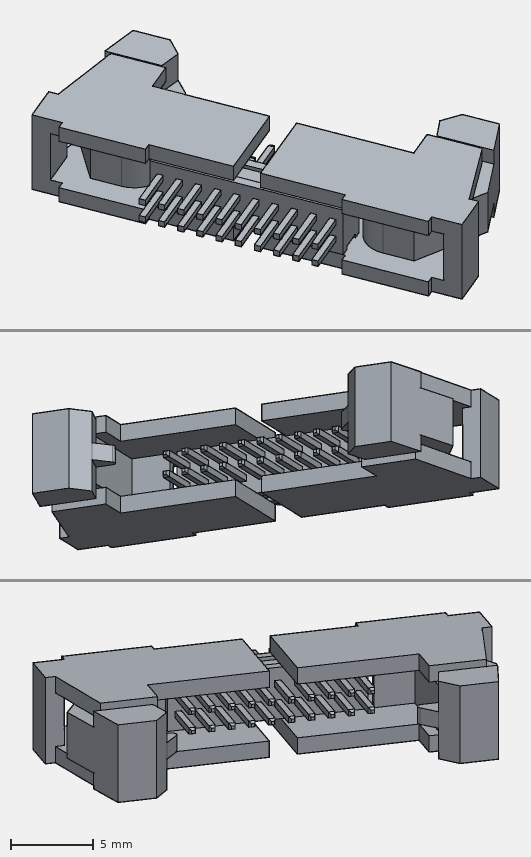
import cadquery as cq

shell_length = 28.47
shell_height = 5.65
plate_thickness = 1.07
end_wall_thickness = 1.22
shell_gap = 1.78
ear_top = 2.58
ear_shoulder = 13.60
tower_top = 7.64
tower_outer = 12.30
tower_inner = 8.65
deck_top = 5.58
standoff_depth = 0.51
standoff_outer = 12.23
standoff_inner = 6.50

shell_end = shell_length / 2
plate_inner = shell_height / 2 - plate_thickness

core_length = 12.80
core_height = 3.38
core_rear = -0.08
core_top = 2.39
core_groove_rear = 0.51
core_groove_top = 1.80
core_groove_depth = 0.25

pin_pitch = 1.27
pin_columns = 10
pin_rows = 2
pin_width = 0.41
pin_rear = -2.84
pin_front = 5.50
pin_tip_length = 0.25
pin_tip_width = 0.21

latch_thickness = 3.00
latch_top = 10.71
head_height = 5.08
head_bottom = 8.09
head_top_outer = 12.13
head_top_inner = 9.67
head_ramp_point = (8.66, 9.57)
head_bottom_inner = 9.10
hook_point_x = 7.29
hook_thickness = 1.08
hook_radius = 0.30
grip_point = (13.68, 5.28)
stem_inner = 9.24
foot_flat_outer = 10.71
foot_flat_inner = 8.65
foot_bottom = 0.80
foot_radius = 2.0
pivot_diameter = 1.27
pivot_center = (10.29, 4.17)

head_fraction = (latch_top - head_bottom) / (latch_top - grip_point[1])
head_bottom_outer = head_top_outer + head_fraction * (grip_point[0] - head_top_outer)


def slab(outline, thickness):
    """Extrude a closed XY outline symmetrically about Z = 0."""
    return outline.extrude(thickness / 2, both=True)


def make_shell():
    """Right-hand shell."""
    plan = cq.Workplane("XY").polyline([
        (shell_gap / 2, 0),
        (standoff_inner, 0),
        (standoff_inner, -standoff_depth),
        (standoff_outer, -standoff_depth),
        (standoff_outer, 0),
        (shell_end, 0),
        (shell_end, ear_top),
        (ear_shoulder, ear_top),
        (tower_outer, tower_top),
        (tower_inner, tower_top),
        (tower_inner, deck_top),
        (shell_gap / 2, deck_top),
    ]).close()
    body = slab(plan, shell_height)

    slot_length = shell_end - end_wall_thickness
    slot_depth = 2 * (tower_top + standoff_depth)
    slot = cq.Workplane("XY").box(
        slot_length, slot_depth, 2 * plate_inner, centered=(False, True, True))
    side_opening = cq.Workplane("XY").box(
        shell_length, tower_top, 2 * plate_inner, centered=(True, False, True)
    ).translate((0, ear_top, 0))
    return body.cut(slot).cut(side_opening)


def make_pin():
    """Square pin along Y on the axis X = Z = 0, tapered on all four sides at its front tip."""
    taper_start = pin_front - pin_tip_length
    shaft = cq.Workplane("XY").box(
        pin_width, taper_start - pin_rear, pin_width, centered=(True, False, True)
    ).translate((0, pin_rear, 0))
    tip = (
        cq.Workplane("XZ", origin=(0, taper_start, 0))
        .rect(pin_width, pin_width)
        .workplane(offset=-pin_tip_length)
        .rect(pin_tip_width, pin_tip_width)
        .loft(ruled=True))
    return shaft.union(tip)


def make_core():
    """Insulator block with a shallow groove in each broad face, and its pins."""
    half_height = core_height / 2
    groove_floor = half_height - core_groove_depth
    profile = cq.Workplane("YZ").polyline([
        (core_rear, -half_height),
        (core_groove_rear, -half_height),
        (core_groove_rear, -groove_floor),
        (core_groove_top, -groove_floor),
        (core_groove_top, -half_height),
        (core_top, -half_height),
        (core_top, half_height),
        (core_groove_top, half_height),
        (core_groove_top, groove_floor),
        (core_groove_rear, groove_floor),
        (core_groove_rear, half_height),
        (core_rear, half_height),
    ]).close()
    core = profile.extrude(core_length / 2, both=True)
    pin = make_pin()
    for column in range(pin_columns):
        x = (column - (pin_columns - 1) / 2) * pin_pitch
        for row in range(pin_rows):
            z = (row - (pin_rows - 1) / 2) * pin_pitch
            core = core.union(pin.translate((x, 0, z)))
    return core


def make_latch():
    """Right-hand latch, with pivot bosses that reach the inner faces of the shell plates."""
    head = slab(cq.Workplane("XY").polyline([
        (head_top_inner, latch_top),
        (head_top_outer, latch_top),
        (head_bottom_outer, head_bottom),
        (head_bottom_inner, head_bottom),
        head_ramp_point,
    ]).close(), head_height)

    hook = slab(cq.Workplane("XY").polyline([
        (hook_point_x, head_bottom),
        (stem_inner, head_bottom),
        (head_top_inner, latch_top),
        head_ramp_point,
    ]).close(), hook_thickness)
    hook = hook.edges("|Z and <X").fillet(hook_radius)

    foot_tip = foot_flat_inner - foot_radius
    foot_top = foot_bottom + foot_radius
    arc_offset = foot_radius * (1 - 0.5 ** 0.5)
    stem = slab(
        cq.Workplane("XY")
        .moveTo(head_top_outer, latch_top)
        .lineTo(*grip_point)
        .lineTo(foot_flat_outer, foot_bottom)
        .lineTo(foot_flat_inner, foot_bottom)
        .threePointArc((foot_tip + arc_offset, foot_bottom + arc_offset), (foot_tip, foot_top))
        .lineTo(stem_inner, foot_top)
        .lineTo(stem_inner, head_bottom)
        .lineTo(head_top_inner, latch_top)
        .close(), latch_thickness)

    pivot = slab(
        cq.Workplane("XY").center(*pivot_center).circle(pivot_diameter / 2), 2 * plate_inner)
    return head.union(stem).union(hook).union(pivot)


core = make_core()
right_shell = make_shell()
left_shell = right_shell.mirror("YZ")
right_latch = make_latch()
left_latch = right_latch.mirror("YZ")

result = cq.Compound.makeCompound([
    core.val(),
    right_shell.val(),
    left_shell.val(),
    right_latch.val(),
    left_latch.val(),
])